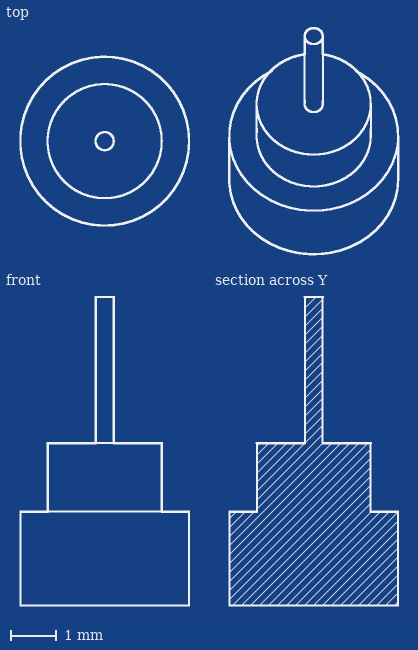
import cadquery as cq

total_height = 6.75
base_diameter = 3.7
base_height = 2.05
collar_diameter = 2.5
collar_height = 1.5
pin_diameter = 0.4
pin_length = total_height - base_height - collar_height

base_top = base_height
collar_top = base_top + collar_height
base_bottom = 0.0


def cylinder(diameter, height, bottom):
    """Upright cylinder on the Z axis."""
    return cq.Workplane("XY").workplane(offset=bottom).circle(diameter / 2).extrude(height)


base = cylinder(base_diameter, base_height, base_bottom)
collar = cylinder(collar_diameter, collar_height, base_top)
pin = cylinder(pin_diameter, pin_length, collar_top)

result = base.union(collar).union(pin)